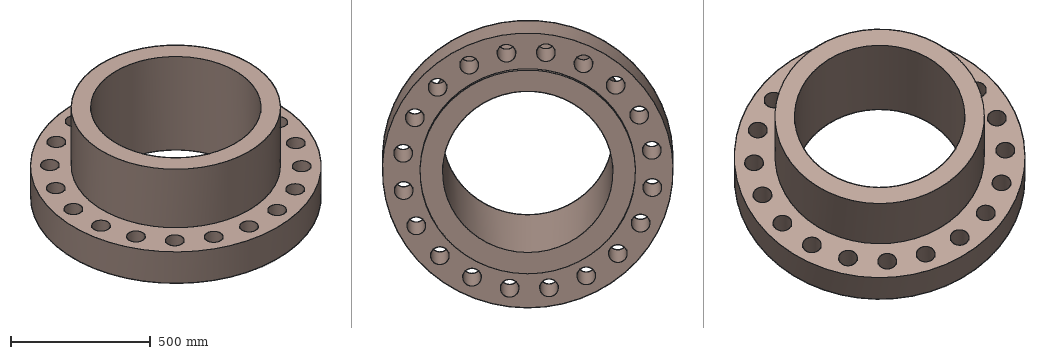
import cadquery as cq

flange_diameter = 1041.0
total_height = 416.0
flange_thickness = 141.0

face_diameter = 771.0
face_height = 16.0

hub_diameter = 750.0
bore_diameter = 610.0

bolt_count = 20
bolt_circle_diameter = 902.0
bolt_hole_diameter = 67.0

hub_height = total_height - face_height - flange_thickness


def make_body():
    """Raised face, flange and hub stacked upward from Z = 0."""
    return (
        cq.Workplane("XY")
        .circle(face_diameter / 2)
        .extrude(face_height)
        .faces(">Z")
        .workplane()
        .circle(flange_diameter / 2)
        .extrude(flange_thickness)
        .faces(">Z")
        .workplane()
        .circle(hub_diameter / 2)
        .extrude(hub_height)
    )


def make_bore():
    """Cylinder that clears the full height of the part."""
    return cq.Workplane("XY").circle(bore_diameter / 2).extrude(total_height)


def make_bolt_holes():
    """Ring of cylinders that pass through the flange, the first one on +X."""
    return (
        cq.Workplane("XY")
        .polarArray(bolt_circle_diameter / 2, 0, 360, bolt_count)
        .circle(bolt_hole_diameter / 2)
        .extrude(face_height + flange_thickness)
    )


result = make_body().cut(make_bore()).cut(make_bolt_holes())